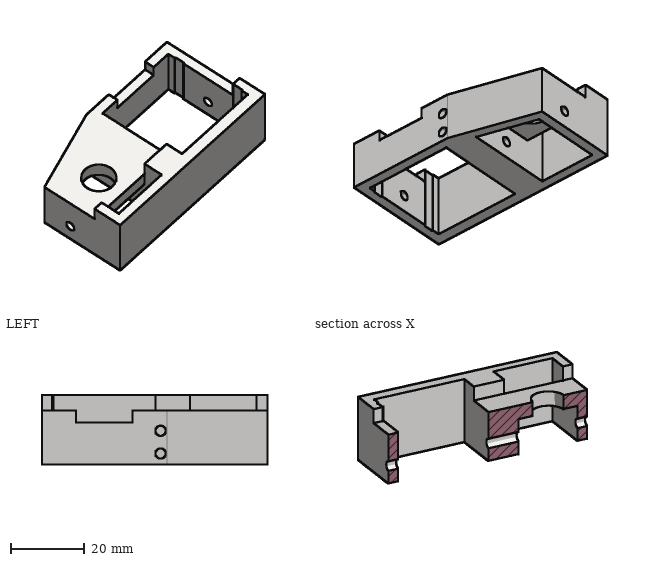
import cadquery as cq

length_x = 35.0
length_y = 61.6
total_height = 19.0
deck_height = 14.8
rail_left_x = 25.9
taper_start_y = 27.4
taper_end_x = 8.0

window_left_x = 3.1
window_right_x = 31.4
window_front_y = 30.6
window_back_y = 58.5

groove_width = 3.1
groove_depth = 0.3
groove_spacing = 20.8

notch_front_y = 36.9
notch_back_y = 52.3
notch_floor_z = 11.5

wall = 3.0
slot_right_x = length_x - wall
slot_back_y = 21.2
deck_thickness = 4.3
cavity_ceiling_z = deck_height - deck_thickness

deck_hole_diameter = 9.6
deck_hole_y = 12.1
centre_x = (window_left_x + window_right_x) / 2
screw_diameter = 2.8
long_hole_z = 5.3
side_hole_y = window_front_y - screw_diameter / 2
side_hole_heights = (3.0, 9.2)
side_hole_depth = 10.0


def box_between(x_range, y_range, z_range):
    """Axis-aligned box given by its start and end along each axis."""
    starts, ends = zip(x_range, y_range, z_range)
    sizes = [end - start for start, end in zip(starts, ends)]
    return cq.Workplane("XY").box(*sizes, centered=False).translate(starts)


def make_body():
    """Tapered plan extruded to the deck, with the tall rail on its right."""
    outline = [
        (taper_end_x, 0),
        (length_x, 0),
        (length_x, length_y),
        (0, length_y),
        (0, taper_start_y),
    ]
    base = cq.Workplane("XY").polyline(outline).close().extrude(deck_height)
    rail = box_between((rail_left_x, length_x), (0, length_y), (0, total_height))
    return base.union(rail)


def make_window():
    """Window opening together with the grooves in its back wall."""
    opening = box_between(
        (window_left_x, window_right_x), (window_front_y, window_back_y), (0, total_height)
    )
    for side in (-1, 1):
        groove_x = centre_x + side * groove_spacing / 2
        groove = box_between(
            (groove_x - groove_width / 2, groove_x + groove_width / 2),
            (window_front_y, window_back_y + groove_depth),
            (0, total_height),
        )
        opening = opening.union(groove)
    return opening


def make_notch():
    """Notch through the top of the left wall."""
    return box_between((0, window_left_x), (notch_front_y, notch_back_y), (notch_floor_z, deck_height))


def make_compartment():
    """Through slot in the rail, joined to a cavity that is open at the bottom."""
    slot = box_between((rail_left_x, slot_right_x), (wall, slot_back_y), (0, total_height))
    slope = taper_end_x / taper_start_y
    cavity_front_x = taper_end_x - slope * wall + wall
    cavity_back_x = taper_end_x - slope * slot_back_y + wall
    cavity_outline = [
        (cavity_front_x, wall),
        (slot_right_x, wall),
        (slot_right_x, slot_back_y),
        (cavity_back_x, slot_back_y),
    ]
    cavity = cq.Workplane("XY").polyline(cavity_outline).close().extrude(cavity_ceiling_z)
    return slot.union(cavity)


def make_deck_hole():
    """Large round hole through the deck into the cavity."""
    return (
        cq.Workplane("XY")
        .center(centre_x, deck_hole_y)
        .circle(deck_hole_diameter / 2)
        .extrude(deck_height)
    )


def make_long_hole():
    """Screw hole along Y through the front, middle and back walls."""
    hole = cq.Workplane("XZ").center(centre_x, long_hole_z).circle(screw_diameter / 2)
    return hole.extrude(-length_y)


def make_side_hole(height):
    """Blind screw hole along X, entering from the left side."""
    hole = cq.Workplane("YZ").center(side_hole_y, height).circle(screw_diameter / 2)
    return hole.extrude(side_hole_depth)


result = make_body().cut(make_window()).cut(make_notch()).cut(make_compartment())
result = result.cut(make_deck_hole()).cut(make_long_hole())
for side_hole_z in side_hole_heights:
    result = result.cut(make_side_hole(side_hole_z))